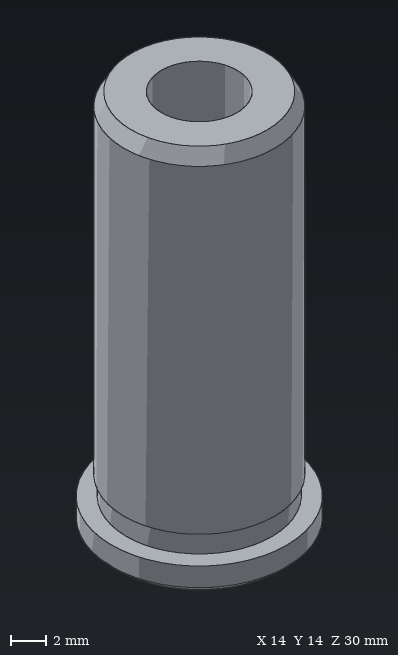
import cadquery as cq
import math

total_length = 30.0
bore_diameter = 6.0
body_diameter = 12.0

head_diameter = 14.0
head_height = 2.0
head_chamfer = 0.5

undercut_diameter = 11.6
undercut_height = 1.5

lead_in_height = 1.0
lead_in_angle = 30.0

bore_radius = bore_diameter / 2
body_radius = body_diameter / 2
head_radius = head_diameter / 2
undercut_radius = undercut_diameter / 2
undercut_top = head_height + undercut_height
lead_in_radius = body_radius - lead_in_height * math.tan(math.radians(lead_in_angle))

half_section = (
    cq.Workplane("XZ")
    .moveTo(bore_radius, 0)
    .lineTo(head_radius - head_chamfer, 0)
    .lineTo(head_radius, head_chamfer)
    .lineTo(head_radius, head_height)
    .lineTo(undercut_radius, head_height)
    .lineTo(undercut_radius, undercut_top)
    .lineTo(body_radius, undercut_top)
    .lineTo(body_radius, total_length - lead_in_height)
    .lineTo(lead_in_radius, total_length)
    .lineTo(bore_radius, total_length)
    .close()
)

result = half_section.revolve(360, (0, 0, 0), (0, 1, 0))